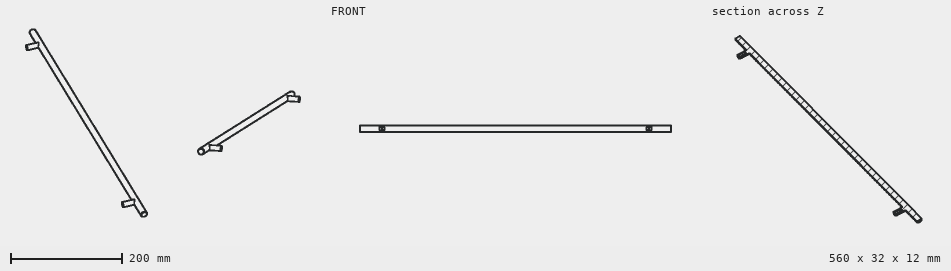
import cadquery as cq

BAR_LENGTH = 560.0
BAR_DIAMETER = 12.0
BAR_END_CHAMFER = 1.0

POST_SPACING = 480.0
POST_DIAMETER = 10.0
OVERALL_DEPTH = 32.0

SCREW_HOLE_DIAMETER = 3.3
SCREW_HOLE_DEPTH = 15.0

POST_LENGTH = OVERALL_DEPTH - BAR_DIAMETER / 2


def make_bar():
    """Round bar centred on the origin, with both ends chamfered."""
    bar = cq.Workplane("YZ").circle(BAR_DIAMETER / 2).extrude(BAR_LENGTH / 2, both=True)
    return bar.faces("<X or >X").chamfer(BAR_END_CHAMFER)


def post_cylinder(x, diameter, length):
    """Cylinder that starts at the post foot at x and runs along +Y."""
    foot = cq.Vector(x, -POST_LENGTH, 0)
    return cq.Workplane(cq.Solid.makeCylinder(diameter / 2, length, foot, cq.Vector(0, 1, 0)))


result = make_bar()
for post_x in (-POST_SPACING / 2, POST_SPACING / 2):
    result = result.union(post_cylinder(post_x, POST_DIAMETER, POST_LENGTH))
    result = result.cut(post_cylinder(post_x, SCREW_HOLE_DIAMETER, SCREW_HOLE_DEPTH))